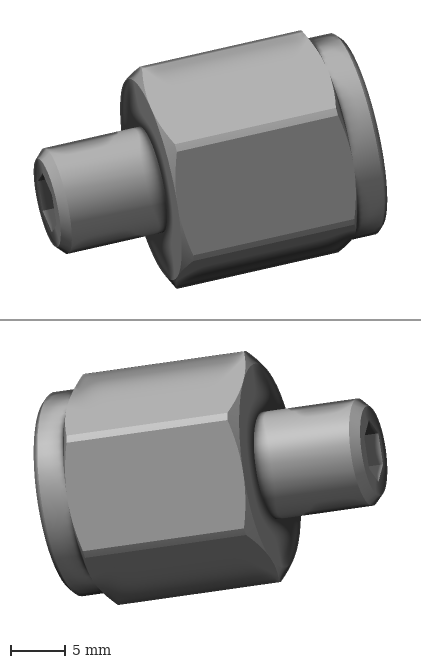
import cadquery as cq
import math

total_length = 30.0
stud_length = total_length / 3
collar_length = total_length / 10
body_length = total_length - stud_length - collar_length

across_flats = 19.0
corner_diameter = 21.5
corner_chamfer_angle = 30.0
collar_chamfer = 0.5

stud_diameter = 10.0
stud_chamfer = 0.8
socket_across_flats = 5.0
socket_depth = 2.5

stud_end = -stud_length
collar_start = body_length


def cylinder(diameter, start, length):
    """Round bar along +Y from the given station."""
    plane = cq.Workplane("XZ", origin=(0, start, 0))
    return plane.circle(diameter / 2).extrude(-length)


def hexagon(flats, start, length):
    """Hexagonal bar along +Y with two corners on the X axis."""
    plane = cq.Workplane("XZ", origin=(0, start, 0))
    return plane.polygon(6, flats / math.cos(math.radians(30))).extrude(-length)


def body_envelope():
    """Turned shape that trims the hexagon's corners and bevels both ends."""
    flat_radius = across_flats / 2
    corner_radius = corner_diameter / 2
    bevel = (corner_radius - flat_radius) * math.tan(math.radians(corner_chamfer_angle))
    profile = (
        cq.Workplane("XY")
        .moveTo(0, 0)
        .lineTo(flat_radius, 0)
        .lineTo(corner_radius, bevel)
        .lineTo(corner_radius, body_length - bevel)
        .lineTo(flat_radius, body_length)
        .lineTo(0, body_length)
        .close()
    )
    return profile.revolve(360, (0, 0, 0), (0, 1, 0))


body = hexagon(across_flats, 0, body_length).intersect(body_envelope())
collar = cylinder(across_flats, collar_start, collar_length).faces(">Y").chamfer(collar_chamfer)
stud = cylinder(stud_diameter, stud_end, stud_length).faces("<Y").chamfer(stud_chamfer)
socket = hexagon(socket_across_flats, stud_end, socket_depth)

result = body.union(collar).union(stud).cut(socket)